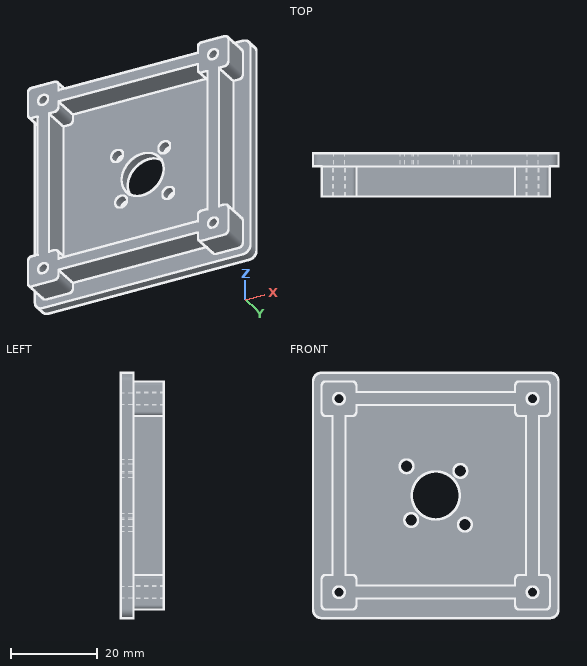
import cadquery as cq
import math

plate_diagonal = 80.0
plate_side = plate_diagonal / math.sqrt(2)
plate_thickness = 3.0
plate_corner_radius = 2.0

frame_height = 7.0
post_margin = 2.0
post_side = 8.0
post_corner_radius = 1.0
post_hole_diameter = 2.6
post_offset = plate_side / 2 - post_margin - post_side / 2
post_spacing = 2 * post_offset
wall_thickness = 3.0

shaft_hole_diameter = 11.0
motor_hole_diameter = 3.1
motor_hole_pairs = [(16.0, 45.0), (19.0, 135.0)]

total_depth = plate_thickness + frame_height


def inner_face():
    """Workplane on the plate's inner face, with its normal towards -Y."""
    return cq.Workplane("XZ")


def make_plate():
    """Rounded plate behind the inner face."""
    plate = inner_face().rect(plate_side, plate_side).extrude(-plate_thickness)
    return plate.edges("|Y").fillet(plate_corner_radius)


def make_posts():
    """Four square posts with rounded corners."""
    posts = (
        inner_face()
        .rect(post_spacing, post_spacing, forConstruction=True)
        .vertices()
        .rect(post_side, post_side)
        .extrude(frame_height)
    )
    return posts.edges("|Y").fillet(post_corner_radius)


def make_walls():
    """Square ring of walls running through the post centres, flush with the posts."""
    outer_side = post_spacing + wall_thickness
    inner_side = post_spacing - wall_thickness
    return (
        inner_face()
        .rect(outer_side, outer_side)
        .rect(inner_side, inner_side)
        .extrude(frame_height)
    )


def drill(body, points, diameter):
    """Cut holes along Y through the whole depth at the given (x, z) points."""
    holes = (
        inner_face()
        .workplane(offset=-plate_thickness)
        .pushPoints(points)
        .circle(diameter / 2)
        .extrude(total_depth)
    )
    return body.cut(holes)


def motor_hole_points():
    """Opposite hole positions of each screw pair."""
    points = []
    for spacing, angle in motor_hole_pairs:
        x = spacing / 2 * math.cos(math.radians(angle))
        z = spacing / 2 * math.sin(math.radians(angle))
        points += [(x, z), (-x, -z)]
    return points


post_centres = [(x, z) for x in (-post_offset, post_offset) for z in (-post_offset, post_offset)]

result = make_plate().union(make_posts()).union(make_walls())
result = drill(result, post_centres, post_hole_diameter)
result = drill(result, [(0, 0)], shaft_hole_diameter)
result = drill(result, motor_hole_points(), motor_hole_diameter)